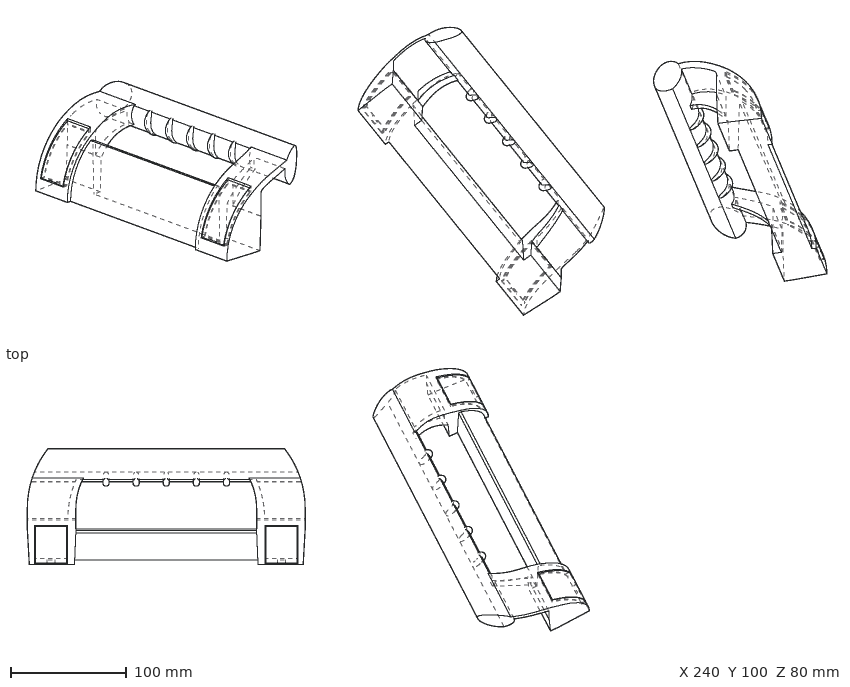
import cadquery as cq
import math

half_width = 120.0
front_y = -50.0
back_y = 50.0
height = 80.0

lower_radius = 68.3
lower_centre = (front_y + lower_radius, 0.0)
arc_join_y = -26.0
arc_join_z = math.sqrt(lower_radius**2 - (lower_centre[0] - arc_join_y) ** 2)
upper_radius = 88.5
radius_step = (upper_radius - lower_radius) / lower_radius
upper_centre = (
    lower_centre[0] + radius_step * (lower_centre[0] - arc_join_y),
    -radius_step * arc_join_z,
)
skin = 6.6
arm_end_y = 30.0
arm_end_z = 56.0
foot_back_y = -11.6
underside_start = (-10.4, 31.4)
underside_mid = (4.1, 46.2)
underside_end = (22.5, 54.3)

outer_plan_radius = 83.0
inner_plan_radius = 56.0
plan_arc_start_y = -1.5
draft_start_y = -19.3
inner_half_width = 77.9
outer_draft = 1.7
inner_draft = 1.3
web = 7.0
pocket_back_y = -10.3
pocket_corner = 4.0

bar_front_y = -46.2
bar_radius = 66.3
bar_height = 50.4
bar_lean = 1.2

grip_crease = (24.7, 73.0)
grip_shoulder = (29.8, 77.5)
crown_radius = 11.6
crown_centre = (back_y - crown_radius, height - crown_radius)
crown_start_y = 35.8
palm_bottom = (30.0, 48.4)
finger_heel = (25.3, 52.1)
finger_low = (22.0, 57.9)
finger_mid = (21.4, 64.0)
finger_high = (23.5, 71.8)

rib_count = 5
rib_pitch = 26.0
rib_width = 5.4
rib_round = 2.4
rib_top = (30.0, 74.0)
rib_front = [(22.5, 71.5), (17.6, 62.5), (21.3, 53.6), (28.0, 48.7), (36.0, 52.0)]

cover_x = 99.4
recess_width = 28.2
recess_low_z = 12.3
recess_back_y = -16.3
recess_depth = 4.0
cover_gap = 0.7
cover_mid_drop = 0.4
cover_top_drop = 1.3
notch_width = 7.2
notch_height = 0.5


def outer_y_to_z(y, inset=0.0):
    """Height of the upper arc, moved inwards by inset, at the given Y."""
    radius = upper_radius - inset
    return upper_centre[1] + math.sqrt(radius**2 - (y - upper_centre[0]) ** 2)


def arc_point(centre, radius, angle):
    """YZ point on a circle, at an angle that rises from the -Y direction."""
    return (centre[0] - radius * math.cos(angle), centre[1] + radius * math.sin(angle))


join_angle = math.atan2(arc_join_z, lower_centre[0] - arc_join_y)


def outer_profile(inset):
    """Open YZ wire along the arm front, moved inwards by inset, from z = 0 up to the grip."""
    lower = lower_radius - inset
    upper = upper_radius - inset
    mid_y = (arc_join_y + arm_end_y) / 2
    return (
        cq.Workplane("YZ")
        .moveTo(lower_centre[0] - lower, 0)
        .threePointArc(
            arc_point(lower_centre, lower, join_angle / 2),
            arc_point(lower_centre, lower, join_angle),
        )
        .threePointArc(
            (mid_y, outer_y_to_z(mid_y, inset)),
            (arm_end_y, outer_y_to_z(arm_end_y, inset)),
        )
    )


def plan_region(x, front_shift, radius, arc_start_y=plan_arc_start_y):
    """Solid that fills the plan from the centre plane out to half width x."""
    def bend(y):
        return (x - radius + math.sqrt(radius**2 - (y - arc_start_y) ** 2), y)

    return (
        cq.Workplane("XY")
        .moveTo(0, front_y)
        .lineTo(x + front_shift, front_y)
        .lineTo(x, draft_start_y)
        .lineTo(x, arc_start_y)
        .threePointArc(bend((arc_start_y + back_y) / 2), bend(back_y))
        .lineTo(0, back_y)
        .close()
        .extrude(height)
    )


outer_plan = plan_region(half_width, -outer_draft, outer_plan_radius)
inner_plan = plan_region(inner_half_width, inner_draft, inner_plan_radius)
web_plan = plan_region(inner_half_width + web, inner_draft, outer_plan_radius, pocket_back_y)


def make_arm():
    side = (
        outer_profile(0)
        .lineTo(arm_end_y, arm_end_z)
        .lineTo(*underside_end)
        .threePointArc(underside_mid, underside_start)
        .lineTo(foot_back_y, 0)
        .close()
        .extrude(half_width)
    )
    return side.intersect(outer_plan).cut(inner_plan).cut(make_pocket())


def make_pocket():
    """Space under the arm skin, open at the outer side, the back and below."""
    pocket = outer_profile(skin).lineTo(arm_end_y, 0).close().extrude(half_width)
    behind = (
        cq.Workplane("XY")
        .box(half_width, arm_end_y - pocket_back_y, height, centered=False)
        .translate((0, pocket_back_y, 0))
    )
    pocket = pocket.intersect(behind)
    upper_corner = pocket.edges("|X").edges("<Y").edges(">Z")
    return upper_corner.fillet(pocket_corner).cut(web_plan)


def make_half_bar():
    centre = (bar_front_y + bar_radius, 0.0)
    top_angle = math.asin(bar_height / bar_radius)
    return (
        cq.Workplane("YZ")
        .moveTo(bar_front_y, 0)
        .threePointArc(
            arc_point(centre, bar_radius, top_angle / 2),
            arc_point(centre, bar_radius, top_angle),
        )
        .lineTo(draft_start_y - bar_lean, bar_height)
        .lineTo(draft_start_y, 0)
        .close()
        .extrude(half_width)
        .intersect(inner_plan)
    )


def make_half_grip():
    crown_sine = (crown_centre[0] - crown_start_y) / crown_radius
    crown_start_z = crown_centre[1] + crown_radius * math.sqrt(1 - crown_sine**2)
    diagonal = crown_radius * math.sqrt(0.5)
    return (
        cq.Workplane("YZ")
        .moveTo(*grip_crease)
        .threePointArc(grip_shoulder, (crown_start_y, crown_start_z))
        .threePointArc(
            (crown_centre[0] + diagonal, crown_centre[1] + diagonal),
            (back_y, crown_centre[1]),
        )
        .tangentArcPoint(palm_bottom, relative=False)
        .threePointArc(finger_heel, finger_low)
        .threePointArc(finger_mid, finger_high)
        .close()
        .extrude(half_width)
        .intersect(outer_plan)
    )


def make_rib(x):
    rib = (
        cq.Workplane("YZ")
        .moveTo(*rib_top)
        .spline(rib_front, includeCurrent=True)
        .close()
        .extrude(rib_width / 2, both=True)
    )
    return rib.faces("|X").edges("%BSPLINE").fillet(rib_round).translate((x, 0, 0))


def cover_space(gap):
    """Space between the recess floor and the outside, kept clear of the recess walls by gap."""
    low_z = recess_low_z + gap
    width = recess_width - 2 * gap
    block = (
        cq.Workplane("XY")
        .box(width, recess_back_y - gap - front_y, height - low_z, centered=(True, False, False))
        .translate((cover_x, front_y, low_z))
    )
    floor = outer_profile(recess_depth).lineTo(arm_end_y, 0).close().extrude(half_width)
    return block.cut(floor)


def make_cover():
    low_angle = math.asin(recess_low_z / lower_radius)
    face = (
        cq.Workplane("YZ")
        .moveTo(*arc_point(lower_centre, lower_radius, low_angle))
        .threePointArc(
            arc_point(lower_centre, lower_radius - cover_mid_drop, (low_angle + join_angle) / 2),
            (recess_back_y, outer_y_to_z(recess_back_y) - cover_top_drop),
        )
        .lineTo(recess_back_y, recess_low_z)
        .close()
        .extrude(half_width)
    )
    notch = (
        cq.Workplane("XY")
        .box(notch_width, 2 * recess_depth, 2 * notch_height)
        .translate((cover_x, front_y, recess_low_z + cover_gap))
    )
    return cover_space(cover_gap).intersect(face).cut(notch)


half_body = make_half_grip().union(make_arm()).union(make_half_bar())
half_body = half_body.cut(cover_space(0))
body = half_body.union(half_body.mirror("YZ"))
for index in range(rib_count):
    body = body.union(make_rib((index - (rib_count - 1) / 2) * rib_pitch))

cover = make_cover()

result = cq.Compound.makeCompound([body.val(), cover.val(), cover.mirror("YZ").val()])